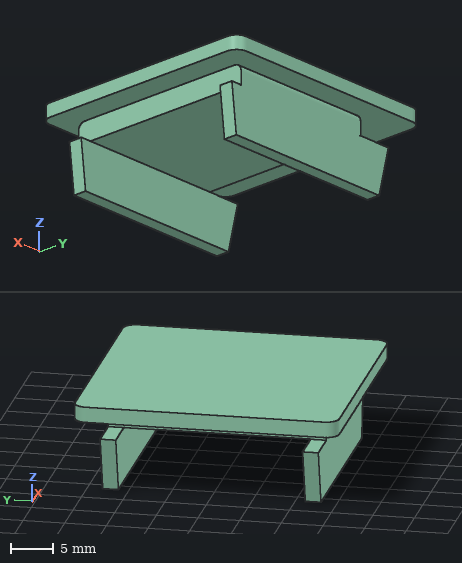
import cadquery as cq

plate_side = 31.75
plate_thickness = 1.9
plate_corner_radius = 1.6

total_height = 11.43

block_left = -8.32
block_right = 12.25
block_width = 26.23
block_height = 2.85
block_edge_radius = 1.02

leg_thickness = 1.9
leg_top_left = -13.15
leg_top_right = 13.85
leg_bottom_left = -11.55
leg_bottom_right = 13.08

plate_bottom = -plate_thickness
block_bottom = plate_bottom - block_height
leg_bottom = -total_height


def make_plate():
    plate = cq.Workplane("XY").box(
        plate_side, plate_side, plate_thickness, centered=(True, True, False)
    )
    return plate.edges("|Z").fillet(plate_corner_radius).translate((0, 0, plate_bottom))


def make_block():
    block = cq.Workplane("XY").box(
        block_right - block_left, block_width, block_height, centered=(False, True, False)
    )
    block = block.edges("|X and >Z").fillet(block_edge_radius)
    return block.translate((block_left, 0, block_bottom))


def make_leg(outer_side):
    """Tapered leg hanging under the block; outer_side is -1 or 1 along Y."""
    profile = [
        (leg_top_left, block_bottom),
        (leg_top_right, block_bottom),
        (leg_bottom_right, leg_bottom),
        (leg_bottom_left, leg_bottom),
    ]
    outer_face = outer_side * block_width / 2
    leg = cq.Workplane("XZ").polyline(profile).close().extrude(outer_side * leg_thickness)
    return leg.translate((0, outer_face, 0))


result = make_plate().union(make_block())
for side in (-1, 1):
    result = result.union(make_leg(side))